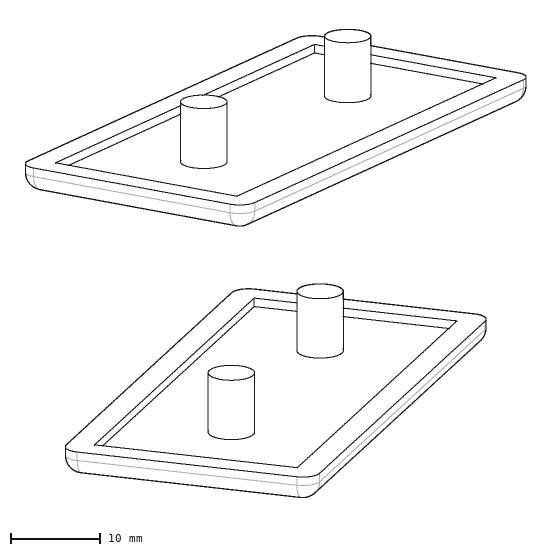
import cadquery as cq

plate_width = 30.0
plate_length = 60.0
plate_thickness = 3.0
edge_radius = 2.0

rim_width = 3.0
recess_depth = 1.0
floor_height = plate_thickness - recess_depth

pin_diameter = 5.2
pin_spacing = 30.0
overall_height = 9.0
pin_height = overall_height - floor_height


def make_plate():
    """Rectangular plate with rounded corners and a rounded bottom edge."""
    plate = cq.Workplane("XY").box(
        plate_width, plate_length, plate_thickness, centered=(True, True, False)
    )
    plate = plate.edges("|Z").fillet(edge_radius)
    return plate.faces("<Z").edges().fillet(edge_radius)


def make_recess():
    """Sharp-cornered block removed from the top of the plate."""
    return (
        cq.Workplane("XY")
        .workplane(offset=floor_height)
        .rect(plate_width - 2 * rim_width, plate_length - 2 * rim_width)
        .extrude(recess_depth)
    )


def make_pins():
    """Two pins spaced evenly about the centre along the plate's length."""
    return (
        cq.Workplane("XY")
        .workplane(offset=floor_height)
        .pushPoints([(0, -pin_spacing / 2), (0, pin_spacing / 2)])
        .circle(pin_diameter / 2)
        .extrude(pin_height)
    )


result = make_plate().cut(make_recess()).union(make_pins())